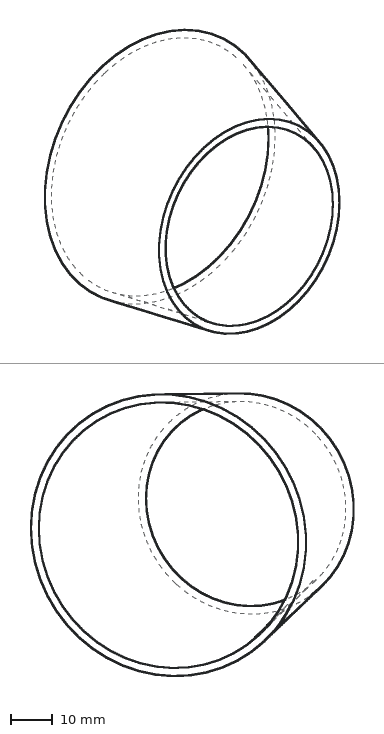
import cadquery as cq

length = 45.0
wall = 2.0
large_outer_diameter = 68.9
small_outer_diameter = 54.0
small_end_shift_y = -6.5


def eccentric_cone(large_diameter, small_diameter):
    """Solid skew cone from the large end at X = 0 to the small end at X = length."""
    return (
        cq.Workplane("YZ")
        .circle(large_diameter / 2)
        .workplane(offset=length)
        .center(small_end_shift_y, 0)
        .circle(small_diameter / 2)
        .loft(ruled=True, combine=True)
    )


outer_body = eccentric_cone(large_outer_diameter, small_outer_diameter)
bore = eccentric_cone(large_outer_diameter - 2 * wall, small_outer_diameter - 2 * wall)

result = outer_body.cut(bore)